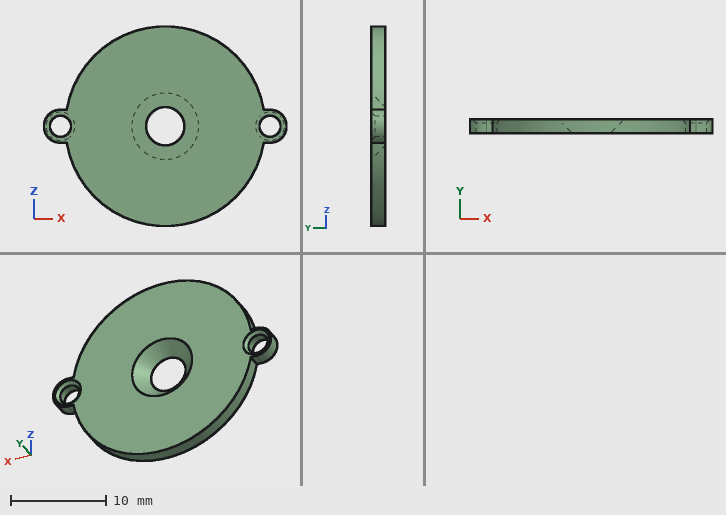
import cadquery as cq

thickness = 1.5
disc_diameter = 21.0
overall_length = 25.5
ear_width = 3.5
center_hole_diameter = 4.0
ear_hole_diameter = 2.2
ear_countersink_depth = 0.4

back_y = thickness / 2
ear_hole_x = (overall_length - ear_width) / 2
center_countersink_depth = thickness


def make_plate():
    """Disc joined with a round-ended bar whose two ends form the ears."""
    disc = cq.Workplane("XZ").circle(disc_diameter / 2).extrude(thickness / 2, both=True)
    bar = cq.Workplane("XZ").slot2D(overall_length, ear_width).extrude(thickness / 2, both=True)
    return disc.union(bar)


def countersunk_hole(x, diameter, countersink_depth):
    """Cutter for a through hole along Y with a 45 degree countersink in the +Y face."""
    radius = diameter / 2
    back_center = cq.Vector(x, back_y, 0)
    inward = cq.Vector(0, -1, 0)
    bore = cq.Solid.makeCylinder(radius, thickness, back_center, inward)
    countersink = cq.Solid.makeCone(
        radius + countersink_depth, radius, countersink_depth, back_center, inward
    )
    return cq.Workplane(bore).union(cq.Workplane(countersink))


result = make_plate()
result = result.cut(countersunk_hole(0, center_hole_diameter, center_countersink_depth))
for side in (-1, 1):
    result = result.cut(countersunk_hole(side * ear_hole_x, ear_hole_diameter, ear_countersink_depth))